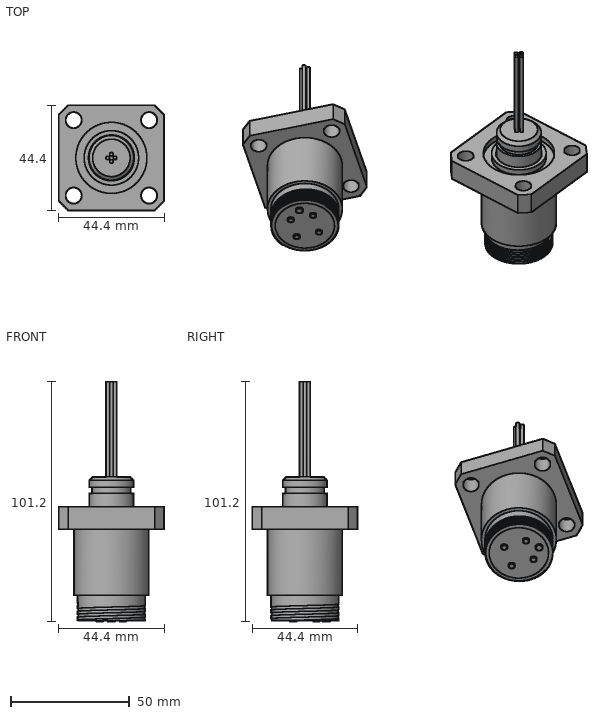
import cadquery as cq

flange_width = 44.4
flange_bottom = 38.4
flange_top = 48.0
corner_chamfer = 4.0
mount_hole_diameter = 6.7
mount_hole_spacing = 31.8
recess_diameter = 30.0
recess_depth = 2.5
boss_diameter = 23.0
neck_hole_diameter = 19.3

barrel_diameter = 31.6
barrel_end = 10.6
thread_diameter = 28.6
thread_pitch = 2.4
thread_groove_width = 1.2
thread_groove_depth = 0.3
thread_turns = 4
thread_top = 7.0
thread_end_angle = 190

core_diameter = 25.0
core_top = flange_bottom
neck_diameter = 18.8
neck_groove_diameter = 16.4
neck_groove_bottom = 53.5
neck_groove_top = 56.1
head_top = 60.5
head_chamfer = 1.5

wire_diameter = 1.5
wire_circle_radius = 1.5
wire_top = 100.6
wire_count = 4

contact_diameter = 2.8
contact_offset = 4.9
earth_contact_diameter = 3.2
earth_contact_offset = 9.0
contact_projection = 0.6
contact_chamfer = 0.3


def cylinder(diameter, bottom, top):
    return cq.Workplane("XY").workplane(offset=bottom).circle(diameter / 2).extrude(top - bottom)


def thread_groove():
    """Helical cutter of rectangular section whose centre line ends at thread_top."""
    radius = thread_diameter / 2
    length = thread_turns * thread_pitch
    helix = cq.Wire.makeHelix(thread_pitch, length, radius)
    cutter = (
        cq.Workplane("XZ")
        .center(radius, 0)
        .rect(2 * thread_groove_depth, thread_groove_width)
        .sweep(cq.Workplane(helix), isFrenet=True)
    )
    return cutter.rotate((0, 0, 0), (0, 0, 1), thread_end_angle).translate((0, 0, thread_top - length))


def make_housing():
    """Square flange with a ring recess, on a threaded barrel with a stepped bore for the insert."""
    flange = (
        cq.Workplane("XY")
        .workplane(offset=flange_bottom)
        .rect(flange_width, flange_width)
        .extrude(flange_top - flange_bottom)
        .edges("|Z")
        .chamfer(corner_chamfer)
    )
    mount_holes = (
        cq.Workplane("XY")
        .workplane(offset=flange_bottom)
        .rect(mount_hole_spacing, mount_hole_spacing, forConstruction=True)
        .vertices()
        .circle(mount_hole_diameter / 2)
        .extrude(flange_top - flange_bottom)
    )
    recess_floor = flange_top - recess_depth
    ring_recess = cylinder(recess_diameter, recess_floor, flange_top).cut(
        cylinder(boss_diameter, recess_floor, flange_top)
    )
    threaded_end = cylinder(thread_diameter, 0, barrel_end).cut(thread_groove())
    return (
        flange.cut(mount_holes)
        .union(cylinder(barrel_diameter, barrel_end, flange_bottom))
        .union(threaded_end)
        .cut(ring_recess)
        .cut(cylinder(core_diameter, 0, core_top))
        .cut(cylinder(neck_hole_diameter, core_top, flange_top))
    )


def contact(diameter, x, y):
    """Contact with a chamfered tip, seated on the end of the core."""
    tip = cylinder(diameter, -contact_projection, 0).faces("<Z").chamfer(contact_chamfer)
    return tip.translate((x, y, 0))


def make_insert():
    """Core with its neck, head, contacts and wires."""
    head = cylinder(neck_diameter, neck_groove_top, head_top).faces(">Z").chamfer(head_chamfer)
    insert = (
        cylinder(core_diameter, 0, core_top)
        .union(cylinder(neck_diameter, core_top, neck_groove_bottom))
        .union(cylinder(neck_groove_diameter, neck_groove_bottom, neck_groove_top))
        .union(head)
    )
    for x in (-contact_offset, contact_offset):
        for y in (-contact_offset, contact_offset):
            insert = insert.union(contact(contact_diameter, x, y))
    insert = insert.union(contact(earth_contact_diameter, 0, earth_contact_offset))

    wires = (
        cq.Workplane("XY")
        .workplane(offset=head_top)
        .polarArray(wire_circle_radius, 0, 360, wire_count)
        .circle(wire_diameter / 2)
        .extrude(wire_top - head_top)
    )
    return insert.union(wires)


housing = make_housing()
insert = make_insert()
result = cq.Compound.makeCompound([housing.solids().val(), insert.solids().val()])